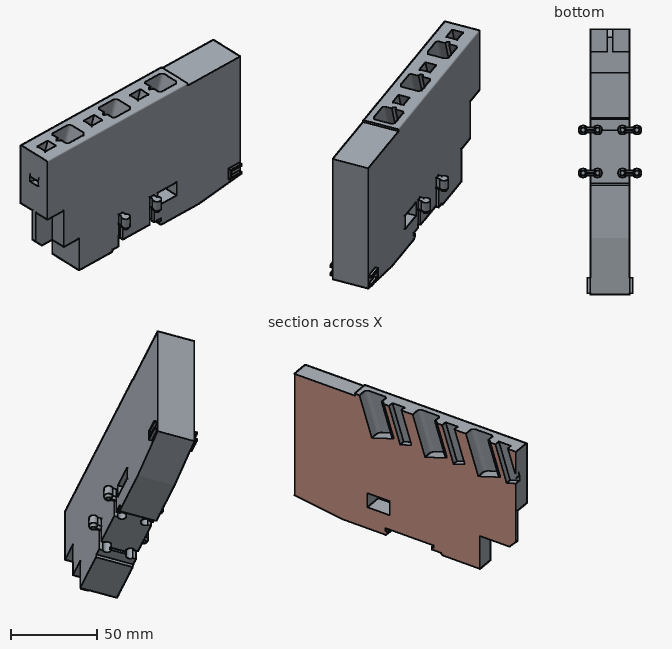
import cadquery as cq
import math

width = 22.8
length = 154.1
height = 90.6

rear_top_z = 89.2
top_step_y = 112.2
top_edge_radius = 1.0

rear_bottom_z = 4.6
rear_slope_end_y = 121.1
foot_front_y = 25.3
overhang_z = 22.8

recess_top_z = 4.6
recess_rear_y = 90.9
recess_front_y = 57.3
hook_tip_y = 89.4
hook_top_z = 3.0
hook_tip_z = 1.4
hook_base_y = 90.8
lip_tip_y = 58.7
lip_top_z = 3.4
lip_bottom_z = 1.4
lip_slope_y = 52.4
lip_end_y = 51.5

fin_width = 3.2
fin_root_y = 13.1
fin_top_z = 48.8
fin_chamfer_y = 4.8
fin_chamfer_z = 27.9

window_rear_y = 103.2
window_front_y = 88.0
window_bottom_z = 15.0
window_top_z = 24.3

pole_count = 3
pole_pitch = 37.0
shaft_tilt = 18.0
wire_first_y = 27.6
wire_width = 13.5
wire_length = 14.5
wire_front_radius = 1.5
wire_rear_radius = 2.3
wire_depth = 25.6
nub_width = 2.3
nub_reach = 2.0
driver_first_y = 10.2
driver_width = 7.0
driver_length = 8.3
driver_depth = 24.0
shaft_overrun = 7.7

bracket_rear_y = 153.3
bracket_front_y = 144.2
bracket_bottom_z = 6.5
bracket_top_z = 13.5
bracket_wall = 1.4
bracket_thickness = 1.8

clip_front_y = 58.5
clip_rear_y = 83.5
clip_tip_x = 18.2
clip_radius = 2.6
clip_web = 3.2
clip_bottom_z = 15.9
clip_top_z = 24.2
clip_chamfer = 1.2
clip_chamfer_height = 1.8

half_width = width / 2
sides = (-1, 1)


def make_box(x_range, y_range, z_range):
    """Box spanning the given ranges."""
    size = [high - low for low, high in (x_range, y_range, z_range)]
    corner = (x_range[0], y_range[0], z_range[0])
    return cq.Workplane("XY").box(*size, centered=False).translate(corner)


def make_block():
    """Side outline of the housing, carried across its full width."""
    outline = [
        (length, rear_bottom_z),
        (length, rear_top_z),
        (top_step_y, rear_top_z),
        (top_step_y, height),
        (0, height),
        (0, fin_chamfer_z),
        (fin_chamfer_y, overhang_z),
        (foot_front_y, overhang_z),
        (foot_front_y, 0),
        (lip_end_y, 0),
        (lip_slope_y, lip_bottom_z),
        (lip_tip_y, lip_bottom_z),
        (lip_tip_y, lip_top_z),
        (recess_front_y, lip_top_z),
        (recess_front_y, recess_top_z),
        (recess_rear_y, recess_top_z),
        (recess_rear_y, hook_top_z),
        (hook_tip_y, hook_top_z),
        (hook_tip_y, hook_tip_z),
        (hook_base_y, 0),
        (rear_slope_end_y, 0),
    ]
    block = cq.Workplane("YZ").polyline(outline).close().extrude(half_width, both=True)
    long_top_edges = cq.selectors.BoxSelector(
        (-width, 0, height - top_edge_radius / 2),
        (width, top_step_y, height + top_edge_radius / 2),
    )
    return block.edges(long_top_edges).edges("|Y").fillet(top_edge_radius)


def make_fin_cutout(side):
    """Space beside the front fin, under the front face."""
    x_range = sorted((side * fin_width / 2, side * half_width))
    return make_box(x_range, (0, fin_root_y), (overhang_z, fin_top_z))


def tilted_plane(center_y):
    """Plane across a tilted shaft, centred on its opening in the top face."""
    tilt = math.radians(shaft_tilt)
    return cq.Workplane(
        cq.Plane(
            origin=(0, center_y, height),
            xDir=(1, 0, 0),
            normal=(0, math.sin(tilt), math.cos(tilt)),
        )
    ).workplane(offset=shaft_overrun)


def across_shaft(opening_length):
    """Size across the shaft that gives this length along Y in the top face."""
    return opening_length * math.cos(math.radians(shaft_tilt))


def make_wire_shaft(center_y):
    """Rounded wire entry with a narrow round-ended nub at its front."""
    half_length = across_shaft(wire_length) / 2
    total_depth = -(shaft_overrun + wire_depth)
    plane = tilted_plane(center_y)
    entry = plane.rect(wire_width, 2 * half_length).extrude(total_depth)
    along_shaft = cq.selectors.ParallelDirSelector(plane.plane.zDir)
    entry = entry.faces("<Y").edges(along_shaft).fillet(wire_front_radius)
    entry = entry.faces(">Y").edges(along_shaft).fillet(wire_rear_radius)
    slot_length = half_length + across_shaft(nub_reach)
    nub = (
        plane.center(0, -slot_length / 2).slot2D(slot_length, nub_width, 90).extrude(total_depth)
    )
    return entry.union(nub)


def make_driver_shaft(center_y):
    """Rectangular screwdriver entry; the front one breaks out of the front face."""
    return (
        tilted_plane(center_y)
        .rect(driver_width, across_shaft(driver_length))
        .extrude(-(shaft_overrun + driver_depth))
    )


def make_bracket(side):
    """U-shaped rib on one side, open to the rear."""
    x_range = sorted((side * half_width, side * (half_width + bracket_thickness)))
    plate = make_box(
        x_range, (bracket_front_y, bracket_rear_y), (bracket_bottom_z, bracket_top_z)
    )
    opening = make_box(
        x_range,
        (bracket_front_y + bracket_wall, length),
        (bracket_bottom_z + bracket_wall, bracket_top_z - bracket_wall),
    )
    return plate.cut(opening)


def make_dumbbell(side, center_y, start_z, rise, taper=0.0):
    """Upright prism of two round ends joined by a web, mirrored about the side face.

    It grows from start_z by rise (down if negative); taper is in degrees, inward.
    """
    reach = clip_tip_x - clip_radius - half_width
    base = cq.Workplane("XY", origin=(side * half_width, center_y, start_z))
    dumbbell = base.rect(2 * reach, clip_web).extrude(rise, taper=taper)
    for end_x in (-reach, reach):
        end = base.center(end_x, 0).circle(clip_radius).extrude(rise, taper=taper)
        dumbbell = dumbbell.union(end)
    return dumbbell


def make_clip(side, center_y):
    """Coupling clip with its lower end tapered all round."""
    shoulder_z = clip_bottom_z + clip_chamfer_height
    taper = math.degrees(math.atan2(clip_chamfer, clip_chamfer_height))
    head = make_dumbbell(side, center_y, shoulder_z, clip_top_z - shoulder_z)
    lead_in = make_dumbbell(side, center_y, shoulder_z, -clip_chamfer_height, taper)
    return head.union(lead_in)


def make_housing():
    """Terminal housing with all of its openings, brackets and clip grooves."""
    housing = make_block()
    for side in sides:
        housing = housing.cut(make_fin_cutout(side)).union(make_bracket(side))
        for center_y in (clip_front_y, clip_rear_y):
            housing = housing.cut(make_dumbbell(side, center_y, 0, clip_top_z))
    housing = housing.cut(
        make_box(
            (-half_width, half_width), (window_front_y, window_rear_y), (window_bottom_z, window_top_z)
        )
    )
    for pole in range(pole_count):
        housing = housing.cut(make_wire_shaft(wire_first_y + pole * pole_pitch))
        housing = housing.cut(make_driver_shaft(driver_first_y + pole * pole_pitch))
    return housing


housing = make_housing()
clips = [
    make_clip(side, center_y) for side in sides for center_y in (clip_front_y, clip_rear_y)
]

result = cq.Compound.makeCompound([housing.val(), *[clip.val() for clip in clips]])